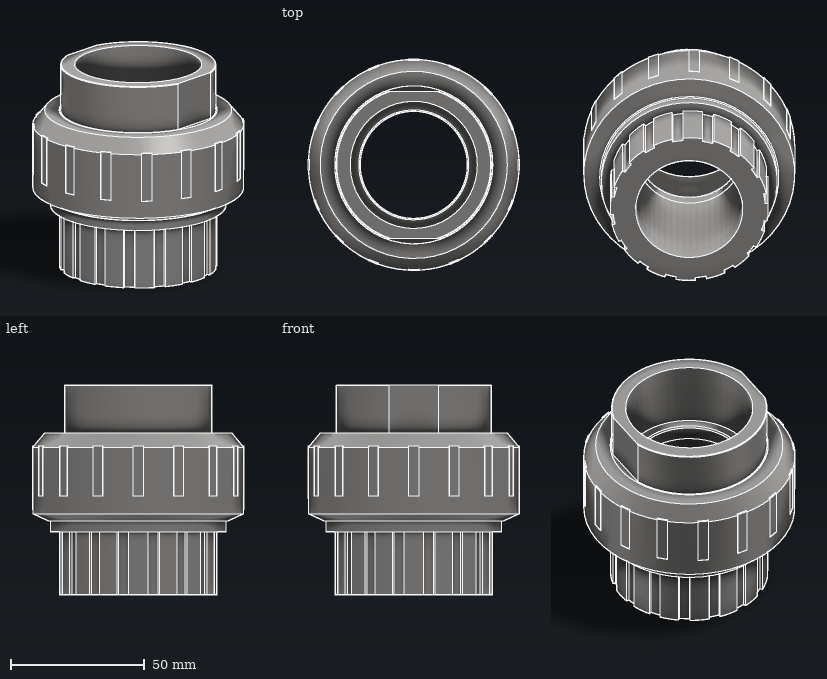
import cadquery as cq


collar_bottom = 23.55
nut_bottom = 27.6
nut_lower_edge = 30.3
nut_rib_bottom = 37.0
joint_height = 47.4
socket_floor = 53.1
nut_shoulder = 55.15
nut_rib_top = 55.6
nut_top = 60.6
top_height = 78.5

bore_diameter = 40.0
bore_mouth_diameter = 41.1
socket_diameter = 47.5
barrel_diameter = 56.9
barrel_rib_diameter = 59.0
collar_diameter = 65.7
sleeve_diameter = 62.6
nut_bore_diameter = 62.7
nut_opening_diameter = 59.1
nut_bottom_diameter = 66.9
nut_top_diameter = 69.9
nut_diameter = 78.85
nut_rib_span = 79.0
neck_diameter = 59.0
spigot_diameter = 58.1
spigot_chamfer = 0.2
flat_width = 55.0

rib_count = 16
nut_rib_width = 3.95
barrel_rib_width = 7.3
rib_root_depth = 1.6
rib_trim_allowance = 1.6


def cylinder(diameter, bottom, top):
    """Upright cylinder centred on the Z axis."""
    return cq.Workplane("XY").workplane(offset=bottom).circle(diameter / 2).extrude(top - bottom)


def cone(bottom_diameter, top_diameter, bottom, top):
    """Upright truncated cone centred on the Z axis."""
    outline = [(0, bottom), (bottom_diameter / 2, bottom), (top_diameter / 2, top), (0, top)]
    return cq.Workplane("XZ").polyline(outline).close().revolve(360, (0, 0, 0), (0, 1, 0))


def add_ribs(body, width, root_diameter, rib_span, bottom, top):
    """Join evenly spaced upright ribs to a round body; rib_span is measured across opposite ribs."""
    inner_radius = root_diameter / 2 - rib_root_depth
    outer_radius = rib_span / 2
    rib = (
        cq.Workplane("XY")
        .workplane(offset=bottom)
        .center((inner_radius + outer_radius) / 2, 0)
        .rect(outer_radius - inner_radius, width)
        .extrude(top - bottom)
    )
    for index in range(rib_count):
        body = body.union(rib.rotate((0, 0, 0), (0, 0, 1), index * 360 / rib_count))
    return body


def make_lower_body():
    """Ribbed barrel with a collar below the nut and a sleeve inside it."""
    body = cylinder(barrel_diameter, 0, collar_bottom)
    rib_blank_span = barrel_rib_diameter + rib_trim_allowance
    body = add_ribs(body, barrel_rib_width, barrel_diameter, rib_blank_span, 0, collar_bottom)
    body = body.intersect(cylinder(barrel_rib_diameter, 0, collar_bottom))
    body = body.union(cylinder(collar_diameter, collar_bottom, nut_bottom))
    body = body.union(cylinder(sleeve_diameter, nut_bottom, joint_height))
    return body.cut(cylinder(bore_diameter, 0, joint_height))


def make_tailpiece():
    """Socket with two wrench flats, held under the nut shoulder by a flange."""
    body = cylinder(sleeve_diameter, joint_height, nut_shoulder)
    body = body.union(cylinder(neck_diameter, nut_shoulder, nut_top))
    flats = cq.Workplane("XY").box(spigot_diameter, flat_width, top_height, centered=(True, True, False))
    spigot = cylinder(spigot_diameter, nut_top, top_height).faces(">Z").chamfer(spigot_chamfer)
    body = body.union(spigot.intersect(flats))

    body = body.cut(cylinder(socket_diameter, socket_floor, top_height))
    body = body.cut(cylinder(bore_diameter, joint_height, socket_floor))
    chamfer_depth = (bore_mouth_diameter - bore_diameter) / 2
    return body.cut(cone(bore_diameter, bore_mouth_diameter, socket_floor - chamfer_depth, socket_floor))


def make_nut():
    """Union nut with coned ends, grip ribs and an inner shoulder over the flange."""
    body = cone(nut_bottom_diameter, nut_diameter, nut_bottom, nut_lower_edge)
    body = body.union(cylinder(nut_diameter, nut_lower_edge, nut_shoulder))
    body = body.union(cone(nut_diameter, nut_top_diameter, nut_shoulder, nut_top))
    body = add_ribs(body, nut_rib_width, nut_diameter, nut_rib_span, nut_rib_bottom, nut_rib_top)
    body = body.cut(cylinder(nut_bore_diameter, nut_bottom, nut_shoulder))
    return body.cut(cylinder(nut_opening_diameter, nut_shoulder, nut_top))


lower_body = make_lower_body()
tailpiece = make_tailpiece()
nut = make_nut()

result = cq.Compound.makeCompound([lower_body.val(), tailpiece.val(), nut.val()])